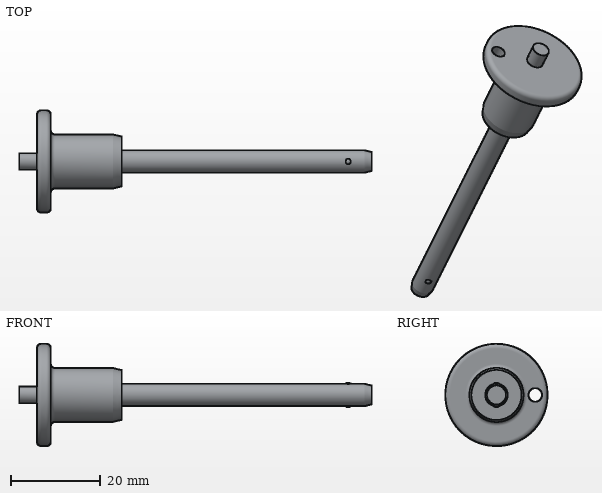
import cadquery as cq

total_length = 79.0
button_length = 3.95
flange_thickness = 3.15
grip_end = 23.0
grip_taper_length = 2.0
tip_taper_length = 1.6

button_radius = 1.9
flange_radius = 11.495
grip_radius = 6.1
grip_end_radius = 5.6
shank_radius = 2.5
tip_radius = 2.1

flange_round = 1.0
grip_root_fillet = 0.9

lanyard_hole_radius = 1.5
lanyard_hole_offset = 8.7

ball_radius = 0.8
ball_protrusion = 0.2
ball_position = 73.7
ball_offset = shank_radius + ball_protrusion - ball_radius

flange_end = button_length + flange_thickness


def make_turned_body():
    """Button, flange, grip and shank as one turned shape."""
    return (
        cq.Workplane("XY")
        .moveTo(0, 0)
        .lineTo(0, button_radius)
        .lineTo(button_length, button_radius)
        .lineTo(button_length, flange_radius - flange_round)
        .radiusArc((button_length + flange_round, flange_radius), flange_round)
        .lineTo(flange_end - flange_round, flange_radius)
        .radiusArc((flange_end, flange_radius - flange_round), flange_round)
        .lineTo(flange_end, grip_radius + grip_root_fillet)
        .radiusArc((flange_end + grip_root_fillet, grip_radius), -grip_root_fillet)
        .lineTo(grip_end - grip_taper_length, grip_radius)
        .lineTo(grip_end, grip_end_radius)
        .lineTo(grip_end, shank_radius)
        .lineTo(total_length - tip_taper_length, shank_radius)
        .lineTo(total_length, tip_radius)
        .lineTo(total_length, 0)
        .close()
        .revolve(360, (0, 0, 0), (1, 0, 0))
    )


def make_lanyard_hole():
    """Cutter running along X through the flange, on the +Y side."""
    return (
        cq.Workplane("YZ", origin=(button_length, 0, 0))
        .center(lanyard_hole_offset, 0)
        .circle(lanyard_hole_radius)
        .extrude(flange_thickness)
    )


def make_ball(side):
    """Locking ball on the +Z (side = 1) or -Z (side = -1) face of the shank."""
    return cq.Workplane("XY", origin=(ball_position, 0, side * ball_offset)).sphere(ball_radius)


balls = [make_ball(side) for side in (1, -1)]

pin_body = make_turned_body().cut(make_lanyard_hole())
for ball in balls:
    pin_body = pin_body.cut(ball)

result = cq.Compound.makeCompound([pin_body.val(), *[ball.val() for ball in balls]])